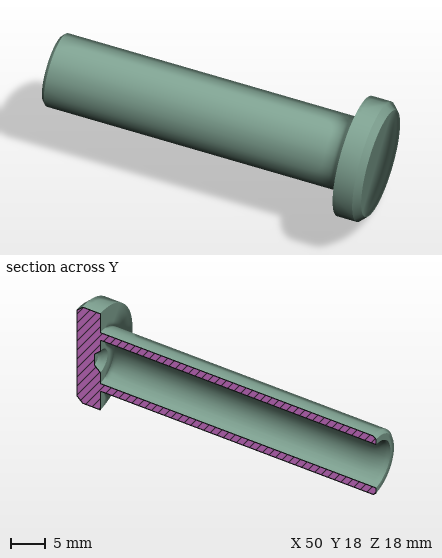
import cadquery as cq

total_length = 50.0
shank_radius = 11.0 / 2
shank_chamfer = 0.5
head_radius = 18.0 / 2
head_thickness = 4.0
head_chamfer = 1.0

bore_radius = 8.0 / 2
recess_mouth_radius = 4.0 / 2
recess_floor_radius = 2.0 / 2
recess_depth = recess_mouth_radius - recess_floor_radius

head_start = total_length - head_thickness
bore_depth = head_start


def revolve_about_x(profile):
    """Turn a closed (x, radius) profile fully around the X axis."""
    return profile.close().revolve(360, (0, 0, 0), (1, 0, 0))


def make_body():
    return revolve_about_x(
        cq.Workplane("XY")
        .lineTo(0, shank_radius - shank_chamfer)
        .lineTo(shank_chamfer, shank_radius)
        .lineTo(head_start, shank_radius)
        .lineTo(head_start, head_radius)
        .lineTo(total_length - head_chamfer, head_radius)
        .lineTo(total_length, head_radius - head_chamfer)
        .lineTo(total_length, 0)
    )


def make_bore():
    return revolve_about_x(
        cq.Workplane("XY")
        .lineTo(0, bore_radius)
        .lineTo(bore_depth, bore_radius)
        .lineTo(bore_depth, recess_mouth_radius)
        .lineTo(bore_depth + recess_depth, recess_floor_radius)
        .lineTo(bore_depth + recess_depth, 0)
    )


result = make_body().cut(make_bore())